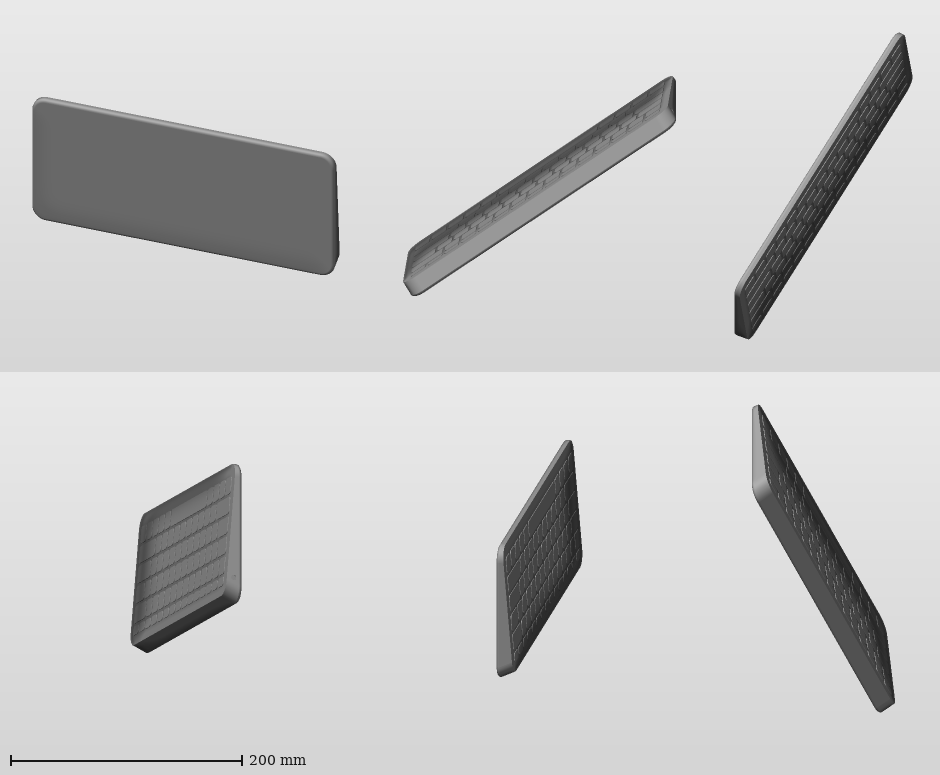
import cadquery as cq
import math


width = 280.2
height = 122.5
rear_depth = 15.0
front_depth = 5.5
corner_radius = 13.0
base_fillet = 2.8
lower_rise = 6.2

key_margin = 7.3
units_per_row = 15
key_pitch = (width - 2 * key_margin) / units_per_row
key_gap = 2.5
function_row_pitch = 10.6
key_height = 0.5
key_corner = 2.8
key_sink = 0.8
key_field_top = 10.0

recess_radius = 2.2
recess_y = 7.8
recess_z = 20.7
recess_depth = 0.5

key_rows = [
    [1] * 4 + [6] + [1] * 5,
    [2.25] + [1] * 10 + [2.75],
    [1.75] + [1] * 11 + [2.25],
    [1.5] + [1] * 12 + [1.5],
    [1] * 13 + [2],
]
function_row = [1] * units_per_row


def outline_sketch(outline_height):
    """Rounded rectangle of the case width."""
    return cq.Sketch().rect(width, outline_height).vertices().fillet(corner_radius)


def make_straight_block():
    """Upright rounded block with the underside edge rounded over."""
    block = (
        cq.Workplane("XZ", origin=(width / 2, 0, height / 2))
        .placeSketch(outline_sketch(height))
        .extrude(-rear_depth)
    )
    return block.faces("<Y").edges().fillet(base_fillet)


def make_leaning_block():
    """Rim plus a tall block whose lower wall and corners lean upward with depth."""
    rim = cq.Workplane().box(width, base_fillet, height, centered=False)
    tall = 2 * height
    near_outline = outline_sketch(tall)
    lean = cq.Vector(0, lower_rise, base_fillet - rear_depth)
    far_outline = near_outline.moved(cq.Location(lean))
    leaning = (
        cq.Workplane("XZ", origin=(width / 2, base_fillet, height))
        .placeSketch(near_outline, far_outline)
        .loft(ruled=True)
    )
    return rim.union(leaning)


def make_slope_wedge():
    """Wedge-shaped envelope that gives the key side its slope."""
    profile = [
        (0, 0),
        (rear_depth, 0),
        (rear_depth, lower_rise),
        (front_depth, height),
        (0, height),
    ]
    return cq.Workplane("YZ").polyline(profile).close().extrude(width)


def make_key(units, left, down, row_pitch):
    """One key; left and down locate its cell, which is row_pitch tall, on the slope."""
    cell_width = units * key_pitch
    slope = math.atan2(rear_depth - front_depth, height - lower_rise)
    slope_plane = cq.Plane(
        origin=(key_margin, front_depth, height),
        xDir=(1, 0, 0),
        normal=(0, math.cos(slope), math.sin(slope)),
    )
    outline = (
        cq.Sketch()
        .rect(cell_width - key_gap, row_pitch - key_gap)
        .vertices()
        .fillet(key_corner)
    )
    return (
        cq.Workplane(slope_plane)
        .workplane(offset=-key_sink)
        .center(left + cell_width / 2, down + row_pitch / 2)
        .placeSketch(outline)
        .extrude(key_sink + key_height)
        .val()
    )


def make_key_row(key_units, down, row_pitch):
    """Keys side by side from the left end of the field."""
    row_keys = []
    left = 0
    for units in key_units:
        row_keys.append(make_key(units, left, down, row_pitch))
        left += units * key_pitch
    return row_keys


case = make_straight_block().intersect(make_leaning_block()).intersect(make_slope_wedge())

keys = []
down = key_field_top
for row in key_rows:
    keys += make_key_row(row, down, key_pitch)
    down += key_pitch
keys += make_key_row(function_row, down, function_row_pitch)

recess = (
    cq.Workplane("YZ", origin=(0, recess_y, recess_z))
    .circle(recess_radius)
    .extrude(recess_depth)
)

result = cq.Workplane(case.val().fuse(*keys)).cut(recess)